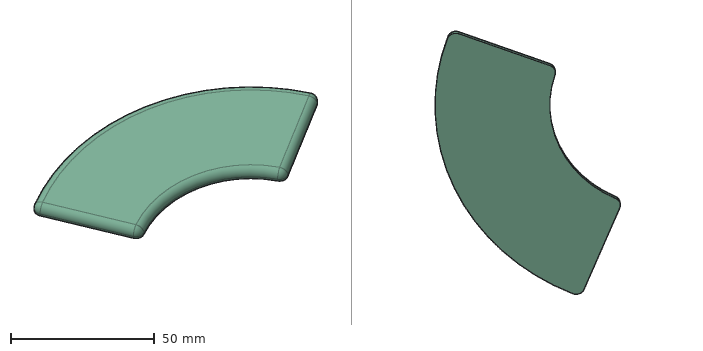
import cadquery as cq
import math

inner_radius = 40.0
outer_radius = 80.0
thickness = 4.0
edge_radius = 3.0

mid_direction = math.radians(135)


def point_on_bisector(radius):
    """Point halfway round the quarter arc of the given radius."""
    return radius * math.cos(mid_direction), radius * math.sin(mid_direction)


def quarter_ring():
    """Flat 90 degree ring segment with sharp edges."""
    return (
        cq.Workplane("XY")
        .moveTo(-outer_radius, 0)
        .threePointArc(point_on_bisector(outer_radius), (0, outer_radius))
        .lineTo(0, inner_radius)
        .threePointArc(point_on_bisector(inner_radius), (-inner_radius, 0))
        .close()
        .extrude(thickness)
    )


def round_edges(body):
    """Round the four upright corners, then the whole top rim."""
    rounded_corners = body.edges("|Z").fillet(edge_radius)
    return rounded_corners.faces(">Z").edges().fillet(edge_radius)


result = round_edges(quarter_ring())